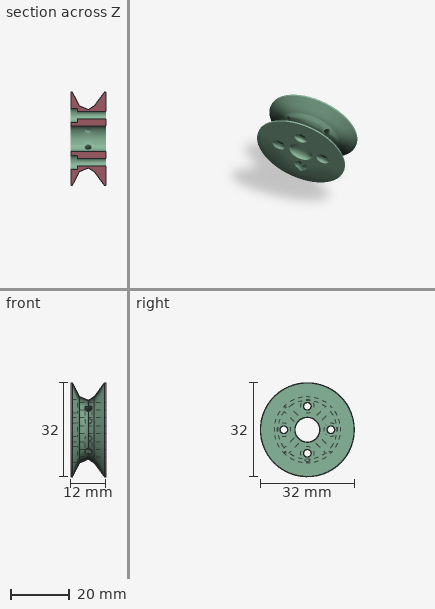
import cadquery as cq
import math

width = 12.0
rim_radius = 16.0
rim_thickness = 0.5
groove_bottom_radius = 10.0
groove_shoulder_radius = 11.25
left_shoulder_offset = 3.0
right_shoulder_offset = 2.0
bore_diameter = 8.4

bolt_count = 4
bolt_circle_radius = 8.0
bolt_hole_diameter = 2.5
counterbore_diameter = 4.6
counterbore_depth = 2.25

radial_hole_count = 4
radial_hole_diameter = 2.4
first_radial_angle = 45.0

teardrop_apex = 3.23
teardrop_tip_radius = 0.22

passage_diameter = 1.8
passage_center_radius = 9.95

left_face = -width / 2
right_face = width / 2


def wheel_body():
    """Revolve the half section, drawn as (X, radius), about the X axis."""
    section = [
        (left_face, 0),
        (left_face, rim_radius),
        (left_face + rim_thickness, rim_radius),
        (-left_shoulder_offset, groove_shoulder_radius),
        (0, groove_bottom_radius),
        (right_shoulder_offset, groove_shoulder_radius),
        (right_face - rim_thickness, rim_radius),
        (right_face, rim_radius),
        (right_face, 0),
    ]
    return cq.Workplane("XY").polyline(section).close().revolve(360, (0, 0, 0), (1, 0, 0))


def face_plane():
    """Workplane on the -X face: local x is Y, local y is Z, extrusion goes to +X."""
    return cq.Workplane("YZ", origin=(left_face, 0, 0))


def bolt_pattern(diameter, depth):
    return (
        face_plane()
        .polarArray(bolt_circle_radius, 0, 360, bolt_count)
        .circle(diameter / 2)
        .extrude(depth)
    )


def radial_holes():
    """Holes from the axis out through the bottom of the groove."""
    hole = cq.Workplane("XY").circle(radial_hole_diameter / 2).extrude(rim_radius)
    holes = cq.Workplane("XY")
    for index in range(radial_hole_count):
        angle = first_radial_angle + index * 360 / radial_hole_count
        holes = holes.add(hole.rotate((0, 0, 0), (1, 0, 0), angle))
    return holes.combine()


def teardrop_tip():
    """Tip bounded by two 45-degree flanks that leave the lowest counterbore."""
    flank_start = teardrop_apex / 2
    arc_offset = teardrop_tip_radius * math.sqrt(0.5)
    apex = -teardrop_apex
    tip_bottom = apex + teardrop_tip_radius * (math.sqrt(2) - 1)
    return (
        face_plane()
        .center(0, -bolt_circle_radius)
        .lineTo(-flank_start, -flank_start)
        .lineTo(-arc_offset, apex + arc_offset)
        .threePointArc((0, tip_bottom), (arc_offset, apex + arc_offset))
        .lineTo(flank_start, -flank_start)
        .close()
        .extrude(counterbore_depth)
    )


def groove_passage():
    """Round hole parallel to the axis, ending level with the groove bottom."""
    return (
        cq.Workplane("YZ", origin=(left_face + counterbore_depth, 0, -passage_center_radius))
        .circle(passage_diameter / 2)
        .extrude(width / 2 - counterbore_depth)
    )


result = (
    wheel_body()
    .cut(face_plane().circle(bore_diameter / 2).extrude(width))
    .cut(bolt_pattern(bolt_hole_diameter, width))
    .cut(bolt_pattern(counterbore_diameter, counterbore_depth))
    .cut(radial_holes())
    .cut(teardrop_tip())
    .cut(groove_passage())
)